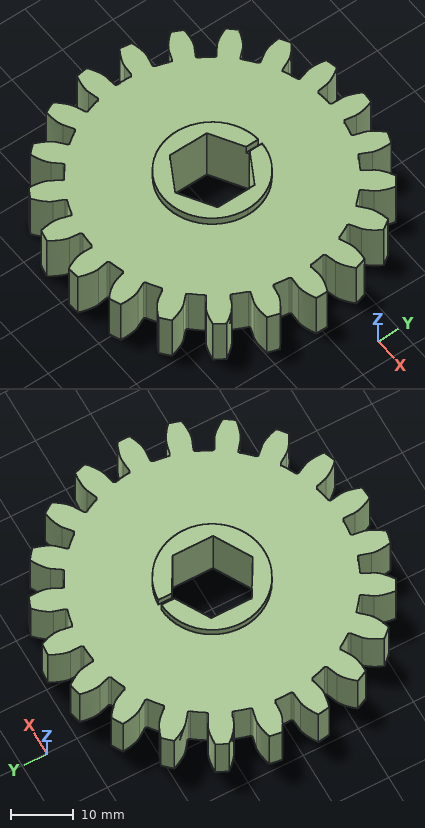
import cadquery as cq
import math

overall_width = 58.4
tooth_count = 21
pressure_angle = math.radians(14.5)
root_radius = 23.5
root_fillet = 0.35
flank_segments = 5

gear_thickness = 9.5
hub_height = 1.6
hub_radius = 9.5
hex_across_flats = 12.7
slot_width = 1.0

total_height = gear_thickness + hub_height
hex_across_corners = hex_across_flats / math.cos(math.pi / 6)


def polar_point(radius, angle):
    return radius * math.cos(angle), radius * math.sin(angle)


def involute(local_pressure_angle):
    """Polar angle swept by the involute from the base circle to this pressure angle."""
    return math.tan(local_pressure_angle) - local_pressure_angle


tooth_pitch = 2 * math.pi / tooth_count
base_half_angle = tooth_pitch / 4 + involute(pressure_angle)
base_to_tip_ratio = math.cos(pressure_angle) * tooth_count / (tooth_count + 2)
tip_half_angle = base_half_angle - involute(math.acos(base_to_tip_ratio))

tip_radius = overall_width / 2 / math.cos(tooth_pitch / 4 - tip_half_angle)
base_radius = tip_radius * base_to_tip_ratio


def flank_points(tooth_angle, side):
    """Points of one involute flank from base circle to tip; side is -1 or +1."""
    points = []
    for step in range(flank_segments + 1):
        radius = base_radius + (tip_radius - base_radius) * step / flank_segments
        half_angle = base_half_angle - involute(math.acos(base_radius / radius))
        points.append(polar_point(radius, tooth_angle + side * half_angle))
    return points


def gear_outline():
    """Closed outline: radial tooth roots, involute flanks, tip arcs and root arcs."""
    outline = cq.Workplane("XY").moveTo(*polar_point(root_radius, -base_half_angle))
    for tooth in range(tooth_count):
        angle = tooth * tooth_pitch
        rising = flank_points(angle, -1)
        falling = flank_points(angle, 1)[::-1]
        gap_middle = polar_point(root_radius, angle + tooth_pitch / 2)
        next_root = polar_point(root_radius, angle + tooth_pitch - base_half_angle)
        outline = (
            outline.lineTo(*rising[0])
            .spline(rising[1:], includeCurrent=True)
            .threePointArc(polar_point(tip_radius, angle), falling[0])
            .spline(falling[1:], includeCurrent=True)
            .lineTo(*polar_point(root_radius, angle + base_half_angle))
            .threePointArc(gap_middle, next_root)
        )
    return outline.close()


def is_root_corner(edge):
    """True for an upright edge where a tooth meets the root circle."""
    center = edge.Center()
    return math.hypot(center.x, center.y) < (root_radius + base_radius) / 2


gear = gear_outline().extrude(gear_thickness)
gear = gear.edges("|Z").filter(is_root_corner).fillet(root_fillet)

hub = cq.Workplane("XY").circle(hub_radius).extrude(total_height)

hex_bore = (
    cq.Workplane("XY")
    .polygon(6, hex_across_corners)
    .extrude(total_height)
    .rotate((0, 0, 0), (0, 0, 1), 30)
)

slot = (
    cq.Workplane("XY")
    .workplane(offset=gear_thickness)
    .rect(slot_width, 2 * hub_radius)
    .extrude(hub_height)
    .translate((0, hub_radius, 0))
)

result = gear.union(hub).cut(hex_bore).cut(slot)